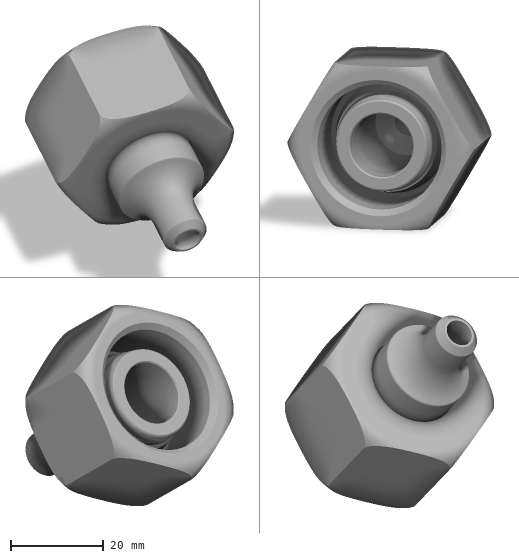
import cadquery as cq
import math

length = 46.8
hex_across_flats = 36.0
rim_round = 0.2

nut_length = 24.0
hex_face_diameter = 34.5
nut_bore_diameter = 27.55
mouth_diameter = 30.0
mouth_depth = (mouth_diameter - nut_bore_diameter) / 2
clearance_diameter = 20.23

face_x = 3.15
face_chamfer = 0.35
cone_small_diameter = 20.15
cone_half_angle = math.radians(12)
collar_diameter = 25.0
collar_end_x = 15.9
body_diameter = 19.9
neck_radius = 8.0
neck_end_x = 38.7
shoulder_round = 0.5
stub_diameter = 10.0
stub_chamfer = 1.5

bore_diameter = 14.0
bore_chamfer = 0.3
bore_end_x = 30.9
bore_end_half_angle = math.radians(68)
outlet_diameter = 6.05

groove_front_diameter = 21.0
groove_back_diameter = 22.45
ring_outer_diameter = 21.15
ring_cord = 2.4
groove_floor_diameter = ring_outer_diameter - 2 * ring_cord


def revolve_about_x(outline):
    """Revolve an outline of (x, radius) points about the X axis."""
    return outline.close().revolve(360, (0, 0, 0), (1, 0, 0))


def round_rim(body, rim_x, rim_diameter, radius):
    """Round the circular edge about the X axis that has the given position and diameter."""
    tolerance = 0.0005

    def is_rim(edge):
        return (
            edge.geomType() == "CIRCLE"
            and abs(edge.Center().x - rim_x) < tolerance
            and abs(2 * edge.radius() - rim_diameter) < tolerance
        )

    return body.newObject([edge for edge in body.edges().vals() if is_rim(edge)]).fillet(radius)


def cone_x(diameter):
    """X position at which the sealing cone has the given diameter."""
    return face_x + face_chamfer + (diameter - cone_small_diameter) / 2 / math.tan(cone_half_angle)


def make_hexagon():
    """Hexagonal prism along X with its corners rounded off at both ends."""
    corner_diameter = hex_across_flats / math.cos(math.pi / 6)
    corner_round = (corner_diameter - hex_face_diameter) / 2
    prism = cq.Workplane("YZ").polygon(6, corner_diameter).extrude(nut_length)
    envelope = cq.Workplane("YZ").circle(corner_diameter / 2).extrude(nut_length).edges().fillet(corner_round)
    return prism.intersect(envelope)


def make_nut_cavity():
    """Stepped hole along X: chamfered bore, 45 degree collar seat and clearance for the nipple body."""
    seat_depth = (collar_diameter - clearance_diameter) / 2
    outline = (
        cq.Workplane("XY")
        .lineTo(0, mouth_diameter / 2)
        .lineTo(mouth_depth, nut_bore_diameter / 2)
        .lineTo(collar_end_x, nut_bore_diameter / 2)
        .lineTo(collar_end_x, collar_diameter / 2)
        .lineTo(collar_end_x + seat_depth, clearance_diameter / 2)
        .lineTo(nut_length, clearance_diameter / 2)
        .lineTo(nut_length, 0)
    )
    return revolve_about_x(outline)


def make_nut():
    """Hexagonal union nut with rounded rims at the mouth of its bore."""
    nut = make_hexagon().cut(make_nut_cavity())
    nut = round_rim(nut, 0, mouth_diameter, rim_round)
    return round_rim(nut, mouth_depth, nut_bore_diameter, rim_round)


def make_nipple_bore():
    """Wide chamfered bore that tapers to a narrow outlet through the stub."""
    taper_length = (bore_diameter - outlet_diameter) / 2 / math.tan(bore_end_half_angle)
    outline = (
        cq.Workplane("XY")
        .moveTo(face_x, 0)
        .lineTo(face_x, bore_diameter / 2 + bore_chamfer)
        .lineTo(face_x + bore_chamfer, bore_diameter / 2)
        .lineTo(bore_end_x, bore_diameter / 2)
        .lineTo(bore_end_x + taper_length, outlet_diameter / 2)
        .lineTo(length, outlet_diameter / 2)
        .lineTo(length, 0)
    )
    return revolve_about_x(outline)


def make_nipple():
    """Turned nipple: sealing cone with a groove, collar, body, concave neck and chamfered stub."""
    stub_radius = stub_diameter / 2
    body_radius = body_diameter / 2
    groove_floor = groove_floor_diameter / 2
    stub_chamfer_x = length - stub_chamfer
    shoulder_angle = math.acos(1 - (body_radius - stub_radius) / neck_radius)
    shoulder_x = neck_end_x - neck_radius * math.sin(shoulder_angle)
    neck_middle = (
        neck_end_x - neck_radius * math.sin(shoulder_angle / 2),
        stub_radius + neck_radius * (1 - math.cos(shoulder_angle / 2)),
    )
    outline = (
        cq.Workplane("XY")
        .moveTo(face_x, 0)
        .lineTo(face_x, cone_small_diameter / 2 - face_chamfer)
        .lineTo(face_x + face_chamfer, cone_small_diameter / 2)
        .lineTo(cone_x(groove_front_diameter), groove_front_diameter / 2)
        .lineTo(cone_x(groove_front_diameter), groove_floor)
        .lineTo(cone_x(groove_back_diameter), groove_floor)
        .lineTo(cone_x(groove_back_diameter), groove_back_diameter / 2)
        .lineTo(cone_x(collar_diameter), collar_diameter / 2)
        .lineTo(collar_end_x, collar_diameter / 2)
        .lineTo(collar_end_x + (collar_diameter - body_diameter) / 2, body_radius)
        .lineTo(shoulder_x, body_radius)
        .threePointArc(neck_middle, (neck_end_x, stub_radius))
        .lineTo(stub_chamfer_x, stub_radius)
        .lineTo(length, stub_radius - stub_chamfer)
        .lineTo(length, 0)
    )
    nipple = revolve_about_x(outline)
    nipple = round_rim(nipple, shoulder_x, body_diameter, shoulder_round)
    nipple = round_rim(nipple, stub_chamfer_x, stub_diameter, rim_round)
    return nipple.cut(make_nipple_bore())


def make_ring():
    """O-ring centred along the groove and resting on its floor."""
    middle_x = (cone_x(groove_front_diameter) + cone_x(groove_back_diameter)) / 2
    centre_radius = (ring_outer_diameter - ring_cord) / 2
    section = cq.Workplane("XY").center(middle_x, centre_radius).circle(ring_cord / 2)
    return section.revolve(360, (0, -centre_radius, 0), (1, -centre_radius, 0))


nut = make_nut()
nipple = make_nipple()
ring = make_ring()
result = cq.Compound.makeCompound([nut.val(), nipple.val(), ring.val()])